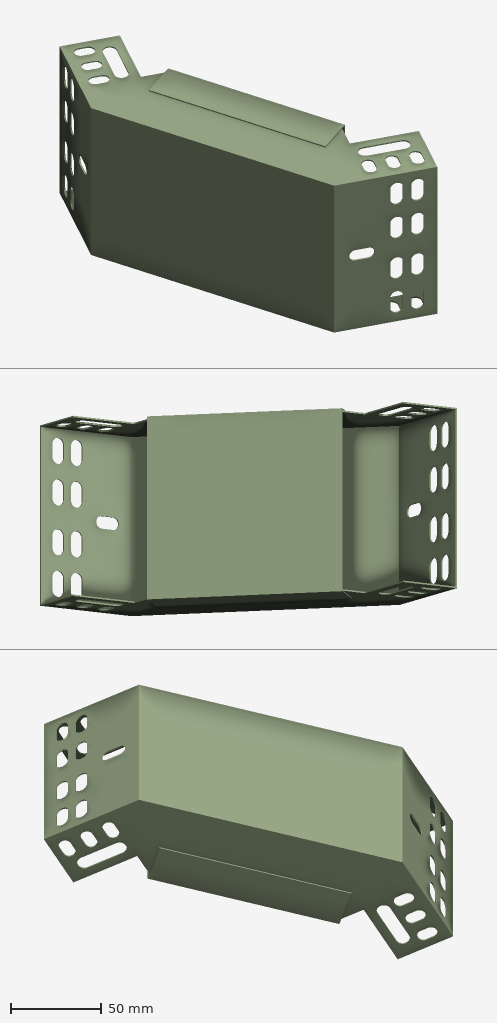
import cadquery as cq
import math

LENGTH = 237.2
HEIGHT = 103.2

LEG_ANGLE = 45.0
LEG_LENGTH = 59.8
LEG_DEPTH = 34.9
NOTCH_DISTANCE = 40.0
CHANNEL_SHEET = 0.85

COVER_WIDTH = 111.0
COVER_BACK_Y = 51.7
COVER_FLANGE_DEPTH = 22.8
COVER_SHEET = 0.78

SLOT_WIDTH = 7.0
UPRIGHT_SLOT_WIDTH = 7.4
WEB_SLOT_LENGTH = 14.7
UPRIGHT_SLOT_ALONG = (11.5, 23.5)
UPRIGHT_SLOT_HEIGHTS = (14.0, 37.5)
LENGTHWISE_SLOT_ALONG = 43.7
SHORT_SLOT_LENGTH = 11.9
SHORT_SLOT_UP = 11.9
SHORT_SLOT_FIRST_ALONG = 8.3
SHORT_SLOT_PITCH = 13.8
SHORT_SLOT_COUNT = 3
LONG_SLOT_LENGTH = 30.1
LONG_SLOT_WIDTH = 8.0
LONG_SLOT_ALONG = 23.0
LONG_SLOT_UP = 25.5

COS = math.cos(math.radians(LEG_ANGLE))
SIN = math.sin(math.radians(LEG_ANGLE))
LEG_END_X = -LENGTH / 2
LEG_END_Y = LEG_LENGTH * SIN
CHANNEL_HEIGHT = HEIGHT - 2 * COVER_SHEET
CHANNEL_BACK_Y = COVER_BACK_Y - COVER_SHEET


def leg_point(along, up):
    """X, Y of a point of the left leg, from its distances along the leg and up from its outer face."""
    return (LEG_END_X + along * COS + up * SIN, LEG_END_Y - along * SIN + up * COS)


def symmetric_prism(left_points, height):
    """Prism centred on Z = 0 whose outline is the left points and their mirror image."""
    right_points = [(-x, y) for x, y in reversed(left_points)]
    outline = cq.Workplane("XY").polyline(left_points + right_points).close()
    return outline.extrude(height / 2, both=True)


def channel_body():
    """U-shaped tray before its slots are cut."""
    notch_x, notch_y = leg_point(NOTCH_DISTANCE, LEG_DEPTH)
    notch_rise = CHANNEL_BACK_Y - notch_y
    notch_run = notch_rise * COS / SIN
    outer = symmetric_prism(
        [
            (notch_x + notch_run, CHANNEL_BACK_Y),
            (notch_x, notch_y),
            leg_point(0, LEG_DEPTH),
            leg_point(0, 0),
            leg_point(LEG_LENGTH, 0),
        ],
        CHANNEL_HEIGHT,
    )
    overrun = LEG_DEPTH
    bend_shift = CHANNEL_SHEET * math.tan(math.radians(LEG_ANGLE / 2))
    inside = symmetric_prism(
        [
            leg_point(-overrun, LEG_DEPTH + overrun),
            leg_point(-overrun, CHANNEL_SHEET),
            leg_point(LEG_LENGTH - bend_shift, CHANNEL_SHEET),
        ],
        CHANNEL_HEIGHT - 2 * CHANNEL_SHEET,
    )
    return outer.cut(inside)


def web_slots():
    """Cutters for the slots through the web of the left leg."""
    web_plane = cq.Plane(
        origin=(LEG_END_X, LEG_END_Y, 0),
        xDir=(COS, -SIN, 0),
        normal=(-SIN, -COS, 0),
    )
    upright_centres = [
        (along, side * height)
        for along in UPRIGHT_SLOT_ALONG
        for height in UPRIGHT_SLOT_HEIGHTS
        for side in (-1, 1)
    ]
    upright = (
        cq.Workplane(web_plane)
        .pushPoints(upright_centres)
        .slot2D(WEB_SLOT_LENGTH, UPRIGHT_SLOT_WIDTH, 90)
        .extrude(2 * CHANNEL_SHEET, both=True)
    )
    lengthwise = (
        cq.Workplane(web_plane)
        .center(LENGTHWISE_SLOT_ALONG, 0)
        .slot2D(WEB_SLOT_LENGTH, SLOT_WIDTH)
        .extrude(2 * CHANNEL_SHEET, both=True)
    )
    return upright.add(lengthwise).combine()


def flange_slots():
    """Cutters for the slots through both flanges of the left leg."""
    short_centres = [
        leg_point(SHORT_SLOT_FIRST_ALONG + i * SHORT_SLOT_PITCH, SHORT_SLOT_UP)
        for i in range(SHORT_SLOT_COUNT)
    ]
    short = (
        cq.Workplane("XY")
        .pushPoints(short_centres)
        .slot2D(SHORT_SLOT_LENGTH, SLOT_WIDTH, 90 - LEG_ANGLE)
        .extrude(HEIGHT, both=True)
    )
    long = (
        cq.Workplane("XY")
        .pushPoints([leg_point(LONG_SLOT_ALONG, LONG_SLOT_UP)])
        .slot2D(LONG_SLOT_LENGTH, LONG_SLOT_WIDTH, -LEG_ANGLE)
        .extrude(HEIGHT, both=True)
    )
    return short.add(long).combine()


def make_channel():
    """Channel with the same slots in both legs."""
    body = channel_body()
    for slots in (web_slots(), flange_slots()):
        body = body.cut(slots).cut(slots.mirror("YZ"))
    return body


def make_cover():
    """Thin U-shaped sheet that fits over the back edges of the channel flanges."""
    outer = (
        cq.Workplane("XY")
        .box(COVER_WIDTH, COVER_FLANGE_DEPTH, HEIGHT)
        .translate((0, COVER_BACK_Y - COVER_FLANGE_DEPTH / 2, 0))
    )
    inside = (
        cq.Workplane("XY")
        .box(COVER_WIDTH, COVER_FLANGE_DEPTH, CHANNEL_HEIGHT)
        .translate((0, CHANNEL_BACK_Y - COVER_FLANGE_DEPTH / 2, 0))
    )
    return outer.cut(inside)


channel = make_channel()
cover = make_cover()
result = cq.Compound.makeCompound([channel.solids().val(), cover.solids().val()])